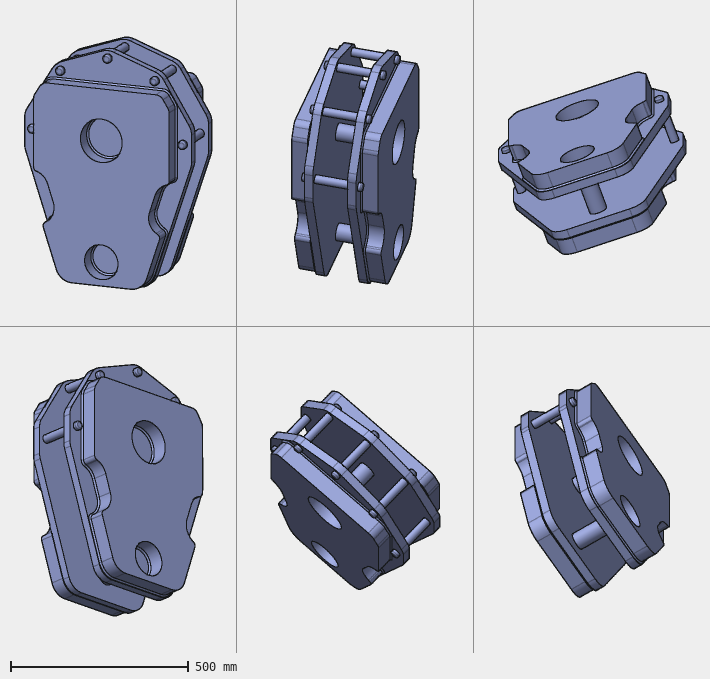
import cadquery as cq
import math

height = 683.0
width = 508.0
depth = 254.0
plate_thickness = depth / 10

plate_gap = 4 * plate_thickness
plate_inner_y = plate_gap / 2
plate_outer_y = plate_inner_y + plate_thickness
plate_corner_radius = 2 * plate_thickness
plate_bottom_half_width = 130.5
flank_foot_z = 373.0
flank_head_z = 476.5
shoulder_x = 160.0
roof_pitch = math.radians(19.5)

block_thickness = 2 * plate_thickness
block_margin = plate_thickness / 4
block_half_width = 206.0
block_top_z = 584.0
block_top_radius = plate_thickness
weld_leg = 5.0
weld_angle = 45

notch_depth = 59.5
notch_lip_radius = plate_thickness / 2
notch_root_radius = 2 * plate_thickness
notch_upper_lip_z = 325.0
notch_upper_root_z = 313.5
notch_lower_root_z = 199.5
notch_lower_lip_z = 170.0

becket_z = 3 * plate_thickness
sheave_z = becket_z + 14 * plate_thickness
sheave_bore_diameter = 5 * plate_thickness
becket_bore_diameter = 4 * plate_thickness
shaft_diameter = 2 * plate_thickness

pin_diameter = plate_thickness
pin_circle_radius = 9 * plate_thickness
shoulder_pin_angle = 51.1
pin_angles = (0, shoulder_pin_angle, 90, 180 - shoulder_pin_angle, 180)
pin_overhang = plate_thickness / 2
pin_end_round = 5.0

y_axis = cq.Vector(0, 1, 0)

half_width = width / 2
roof_peak_z = height + plate_corner_radius * (1 / math.cos(roof_pitch) - 1)
shoulder_z = roof_peak_z - shoulder_x * math.tan(roof_pitch)
flank_slope = (half_width - plate_bottom_half_width) / flank_foot_z
shoulder_slope = (half_width - shoulder_x) / (shoulder_z - flank_head_z)


def lower_edge_x(z, inset):
    """X of a line parallel to the lower plate edge, moved inward by inset."""
    return plate_bottom_half_width + flank_slope * z - inset * math.hypot(1, flank_slope)


def upper_edge_z(x, inset):
    """Z of a line parallel to the upper plate edge, moved inward by inset."""
    edge_z = flank_head_z + (half_width - x) / shoulder_slope
    return edge_z - inset * math.hypot(1, shoulder_slope) / shoulder_slope


def upper_edge_x(z, inset):
    """X of a line parallel to the upper plate edge, moved inward by inset."""
    edge_x = half_width - (z - flank_head_z) * shoulder_slope
    return edge_x - inset * math.hypot(1, shoulder_slope)


def rounded_corner(before, corner, after, radius):
    """Start, middle and end of the arc that rounds a polygon corner."""
    corner = cq.Vector(*corner)
    back = (cq.Vector(*before) - corner).normalized()
    ahead = (cq.Vector(*after) - corner).normalized()
    half_angle = back.getAngle(ahead) / 2
    tangent_length = radius / math.tan(half_angle)
    middle_distance = radius / math.sin(half_angle) - radius
    middle = corner + (back + ahead).normalized() * middle_distance
    return corner + back * tangent_length, middle, corner + ahead * tangent_length


def rounded_outline(y, right_side):
    """Closed outline in the XZ plane at y, mirrored about X = 0, from (x, z, radius) corners."""
    left_side = [(-x, z, radius) for x, z, radius in reversed(right_side) if x > 0]
    corners = right_side + left_side
    points = [(x, z) for x, z, _ in corners]
    radii = [radius for _, _, radius in corners]
    arcs = []
    for i, radius in enumerate(radii):
        following = points[(i + 1) % len(points)]
        arcs.append(rounded_corner(points[i - 1], points[i], following, radius))
    plane = cq.Plane(origin=(0, y, 0), xDir=(-1, 0, 0), normal=(0, 1, 0))
    first_arc_start = arcs[0][0]
    outline = cq.Workplane(plane).moveTo(first_arc_start.x, first_arc_start.y)
    for i, (start, middle, end) in enumerate(arcs):
        if i > 0:
            outline = outline.lineTo(start.x, start.y)
        outline = outline.threePointArc((middle.x, middle.y), (end.x, end.y))
    return outline.close()


def rod(x, z, diameter, start_y, end_y):
    """Cylinder along Y."""
    start = cq.Vector(x, start_y, z)
    return cq.Workplane(cq.Solid.makeCylinder(diameter / 2, end_y - start_y, start, y_axis))


def side_plate():
    """Rear side plate with rounded corners."""
    corners = [
        (0, roof_peak_z),
        (shoulder_x, shoulder_z),
        (half_width, flank_head_z),
        (half_width, flank_foot_z),
        (plate_bottom_half_width, 0),
    ]
    right_side = [(x, z, plate_corner_radius) for x, z in corners]
    return rounded_outline(plate_inner_y, right_side).extrude(plate_thickness)


def block_outline(y):
    """Cheek block outline, inset from the plate edges and notched on both sides."""
    return rounded_outline(y, [
        (upper_edge_x(block_top_z, block_margin), block_top_z, block_top_radius),
        (block_half_width, upper_edge_z(block_half_width, block_margin), block_top_radius),
        (block_half_width, notch_upper_lip_z, notch_lip_radius),
        (lower_edge_x(notch_upper_root_z, notch_depth), notch_upper_root_z, notch_root_radius),
        (lower_edge_x(notch_lower_root_z, notch_depth), notch_lower_root_z, notch_root_radius),
        (lower_edge_x(notch_lower_lip_z, block_margin), notch_lower_lip_z, notch_lip_radius),
        (lower_edge_x(block_margin, block_margin), block_margin, plate_corner_radius),
    ])


def bore(z, diameter):
    """Cutter for a blind bore down to the plate, leaving an equal-leg weld around its floor."""
    radius = diameter / 2
    floor = cq.Vector(0, plate_outer_y, z)
    weld_cone = cq.Solid.makeCone(radius - weld_leg, radius, weld_leg, floor, y_axis)
    return rod(0, z, diameter, plate_outer_y + weld_leg, depth / 2).union(cq.Workplane(weld_cone))


def cheek_block():
    """Rear cheek block with its two bores and the weld around its foot."""
    block = block_outline(plate_outer_y).extrude(block_thickness)
    weld = block_outline(plate_outer_y).offset2D(weld_leg).extrude(weld_leg, taper=weld_angle)
    block = block.union(weld)
    block = block.cut(bore(sheave_z, sheave_bore_diameter))
    return block.cut(bore(becket_z, becket_bore_diameter))


def tie_pin(angle):
    """Pin through both plates, with rounded ends."""
    x = pin_circle_radius * math.cos(math.radians(angle))
    z = sheave_z + pin_circle_radius * math.sin(math.radians(angle))
    end_y = plate_outer_y + pin_overhang
    return rod(x, z, pin_diameter, -end_y, end_y).faces("<Y or >Y").edges().fillet(pin_end_round)


rear_half = side_plate().union(cheek_block())
result = rear_half.union(rear_half.mirror("XZ"))
for shaft_z in (sheave_z, becket_z):
    result = result.union(rod(0, shaft_z, shaft_diameter, -plate_inner_y, plate_inner_y))
for pin_angle in pin_angles:
    result = result.union(tie_pin(pin_angle))